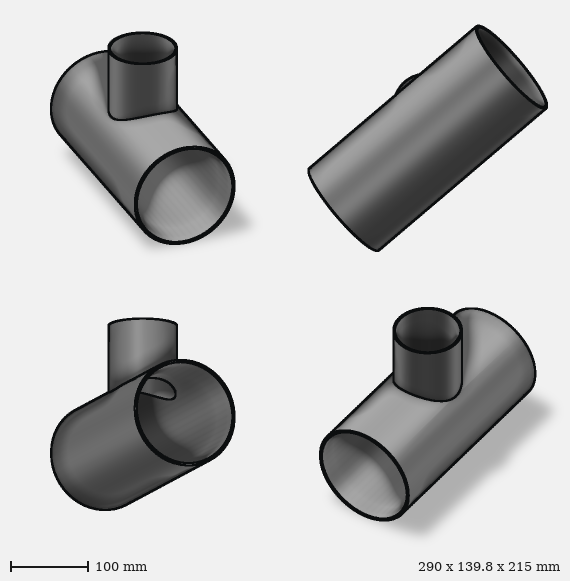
import cadquery as cq

run_length = 290.0
run_outer_diameter = 139.8
run_inner_diameter = 133.7

branch_outer_diameter = 89.0
branch_inner_diameter = 85.0
overall_height = 215.0
branch_top = overall_height - run_outer_diameter / 2


def run_cylinder(diameter):
    """Cylinder along X with the full length of the main pipe."""
    return cq.Workplane("YZ").circle(diameter / 2).extrude(run_length / 2, both=True)


def branch_cylinder(diameter):
    """Cylinder along Z from the main pipe's axis to the branch's open end."""
    return cq.Workplane("XY").circle(diameter / 2).extrude(branch_top)


outer_body = run_cylinder(run_outer_diameter).union(branch_cylinder(branch_outer_diameter))
result = outer_body.cut(run_cylinder(run_inner_diameter)).cut(branch_cylinder(branch_inner_diameter))